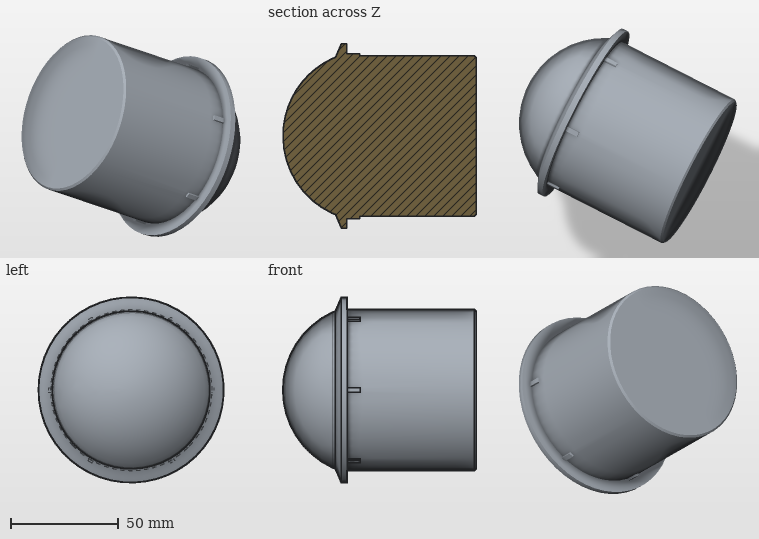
import cadquery as cq
import math

body_radius = 75.0 / 2
body_length = 60.0
end_chamfer = 0.9

flange_radius = 86.25 / 2
flange_rim_width = 2.75
flange_cone_width = 2.75

dome_base_radius = 36.1
dome_rise = 23.0
collar_radius = 36.7
collar_width = 1.5

full_turn = 360.0
rib_count = 6
rib_length = 6.0
rib_width = 2.25
rib_height = 1.0
rib_embed = 2.0

flange_rim_x = -flange_rim_width
flange_front_x = flange_rim_x - flange_cone_width
dome_base_x = flange_front_x - collar_width
dome_apex_x = dome_base_x - dome_rise

dome_radius = (dome_base_radius**2 + dome_rise**2) / (2 * dome_rise)
dome_center_x = dome_apex_x + dome_radius


def dome_height(x):
    """Radial distance from the X axis to the dome sphere at position x."""
    return math.sqrt(dome_radius**2 - (x - dome_center_x) ** 2)


def make_revolved_body():
    """Dome, short conical collar, bevelled flange and chamfered cylinder in one profile."""
    dome_mid_x = (dome_apex_x + dome_base_x) / 2
    return (
        cq.Workplane("XY")
        .moveTo(dome_apex_x, 0)
        .threePointArc(
            (dome_mid_x, dome_height(dome_mid_x)),
            (dome_base_x, dome_base_radius),
        )
        .lineTo(flange_front_x, collar_radius)
        .lineTo(flange_rim_x, flange_radius)
        .lineTo(0, flange_radius)
        .lineTo(0, body_radius)
        .lineTo(body_length - end_chamfer, body_radius)
        .lineTo(body_length, body_radius - end_chamfer)
        .lineTo(body_length, 0)
        .close()
        .revolve(full_turn, (0, 0, 0), (1, 0, 0))
    )


def make_rib(angle):
    """Rectangular rib behind the flange, turned about X from the +Y direction."""
    return (
        cq.Workplane("XY")
        .box(rib_length, rib_height + rib_embed, rib_width, centered=(False, False, True))
        .translate((0, body_radius - rib_embed, 0))
        .rotate((0, 0, 0), (1, 0, 0), angle)
    )


result = make_revolved_body()
for rib_index in range(rib_count):
    result = result.union(make_rib(rib_index * full_turn / rib_count))